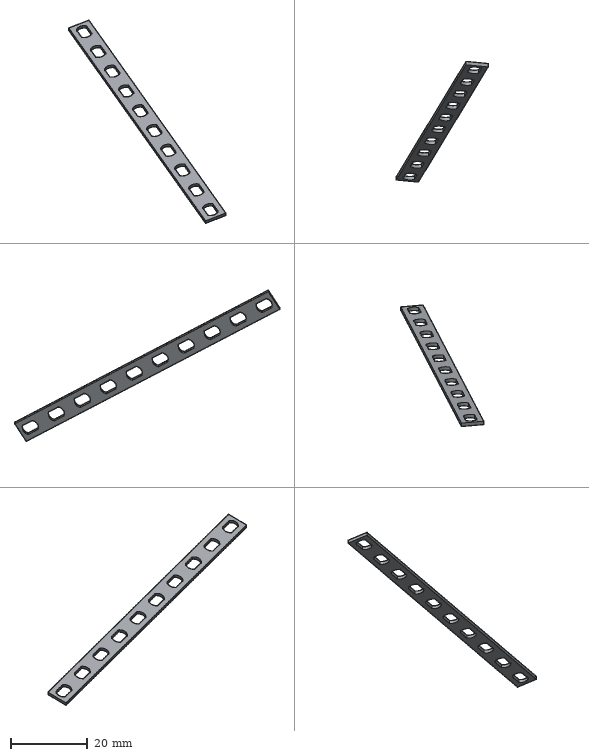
import cadquery as cq

hole_count = 10
hole_pitch = 7.9
strip_width = 6.0
strip_thickness = 1.0
end_margin = strip_width / 2
strip_length = (hole_count - 1) * hole_pitch + 2 * end_margin

hole_diameter = 4.2
hole_across_flats = 3.0


def make_strip():
    """Plain flat bar centred on the origin."""
    return cq.Workplane("XY").box(strip_length, strip_width, strip_thickness)


def make_hole_cutters():
    """Row of through cutters: cylinders trimmed to a band that forms the flats."""
    cylinders = (
        cq.Workplane("XY")
        .rarray(hole_pitch, 1, hole_count, 1)
        .circle(hole_diameter / 2)
        .extrude(strip_thickness, both=True)
    )
    flat_band = cq.Workplane("XY").box(strip_length, hole_across_flats, 2 * strip_thickness)
    return cylinders.intersect(flat_band)


result = make_strip().cut(make_hole_cutters())